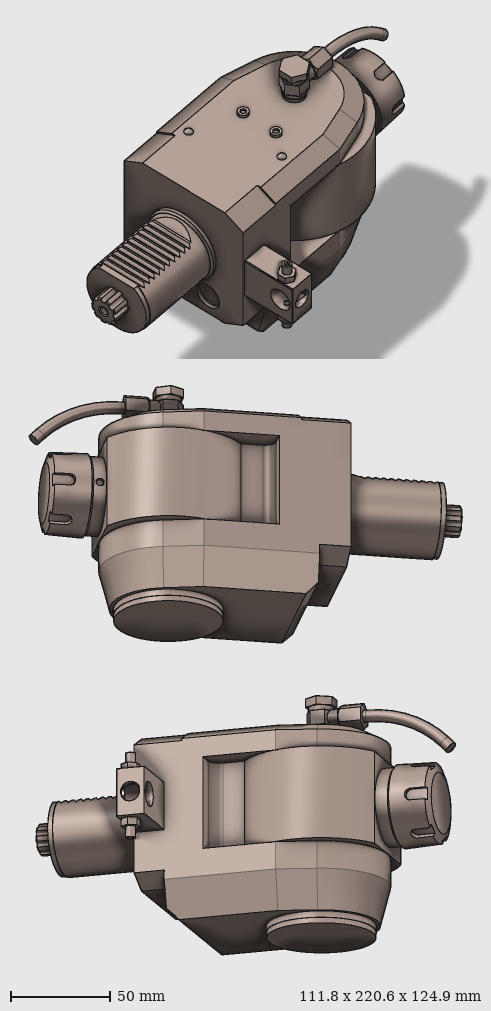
import cadquery as cq
import math


half_width = 39.3
half_height = 40.0
swivel_y = 86.5
nose_radius = 35.0
nose_taper = math.radians(15)
rim_inset = 10.0
rim_drop = 5.3
mount_length = 16.0
mount_rim_length = 25.4
mount_chamfer_x = 12.1
mount_chamfer_z = 6.5
skirt_top = -38.5
skirt_bottom = -58.7
skirt_inset = 5.3
skirt_chamfer = 6.0
plug_x = 16.0
plug_z = -27.5
plug_radius = 7.5
plug_depth = 2.2

disc_radius = 41.0
disc_half_height = 24.0
disc_flat_y = 121.8
pocket_start_y = 36.9
pocket_inner_x = 25.0
pocket_corner_radius = 5.7

cover_radius = 27.8
cover_bottom = -64.9
cover_lip_radius = 27.5
cover_lip_top = -62.0

spindle_radius = 20.0
spindle_end_y = 128.5
groove_radius = 16.3
nut_start_y = 129.5
nut_shoulder_y = 148.5
nut_end_y = 150.3
nut_base_radius = 21.5
nut_shoulder_radius = 20.7
nut_face_radius = 15.7
nut_slots = 6
nut_slot_width = 6.2
nut_slot_length = 12.4
nut_slot_floor = 18.5
pin_hole_y = 125.1
pin_hole_radius = 2.0
pin_hole_depth = 2.2

collar_radius = 21.5
collar_length = 3.0
collar_chamfer = 1.0
shank_radius = 20.0
shank_length = 52.5
shank_tip_radius = 19.6
shank_tip_length = 2.6
rack_z = 15.9
rack_start_y = -8.8
rack_pitch = 4.0
rack_grooves = 10
rack_first_y = -11.7
rack_depth = 1.5
spline_length = 10.4
spline_radius = 8.2
spline_teeth = 9
spline_groove_radius = 1.5
spline_chamfer = 0.7
center_hole_radius = 2.5
center_hole_depth = 4.5
center_hole_chamfer = 0.7

bracket_end_x = 70.8
bracket_start_y = 1.0
bracket_half_height = 12.4
bracket_edge_chamfer = 0.5
bracket_hole_x = 63.0
bracket_hole_radius = 6.5
bracket_window_radius = 5.0
bracket_screw_y = 6.2
bracket_screw_radius = 2.54
bracket_screw_end = 22.0
bracket_nut_corner = 4.9
bracket_nut_height = 4.0
bracket_socket_corner = 1.5
bracket_socket_depth = 1.8
bracket_tip_hole_radius = 1.5
bracket_tip_hole_end = 6.8

fitting_top = 60.0
fitting_cap_bottom = 55.5
fitting_cap_corner = 8.2
fitting_radius = 6.6
fitting_foot_radius = 6.2
fitting_foot_top = 42.5
fitting_hex_bottom = 45.5
fitting_hex_top = 53.0
fitting_hex_corner = 7.7
pipe_z = 49.2
pipe_neck_radius = 5.0
pipe_nut_start_y = 96.9
pipe_nut_end_y = 109.2
pipe_nut_corner = 6.8
pipe_nut_chamfer = 1.3
pipe_radius = 3.0
pipe_bend_start_y = 111.0
pipe_bend_radius = 57.8
pipe_bend_angle = math.radians(45.6)
pipe_tip_length = 4.6

screw_x = 10.8
screw_y = 59.4
screw_radius = 3.0
screw_height = 1.8
screw_socket_corner = 1.8
screw_socket_depth = 1.0
rivets = [(23.6, 48.8), (-23.6, 31.8)]
rivet_radius = 2.5
rivet_height = 1.8


def box(x0, x1, y0, y1, z0, z1):
    return cq.Workplane("XY").box(x1 - x0, y1 - y0, z1 - z0, centered=False).translate((x0, y0, z0))


def rod_y(radius, y0, y1, x=0, z=0):
    return cq.Workplane("XZ", origin=(x, y0, z)).circle(radius).extrude(y0 - y1)


def rod_z(radius, z0, z1, x=0, y=0):
    return cq.Workplane("XY", origin=(x, y, z0)).circle(radius).extrude(z1 - z0)


def hexagon(corner, turn=0):
    angles = [math.radians(60 * i + turn) for i in range(6)]
    return [(corner * math.cos(a), corner * math.sin(a)) for a in angles]


def hex_z(corner, z0, z1, x=0, y=0, turn=0):
    return cq.Workplane("XY", origin=(x, y, z0)).polyline(hexagon(corner, turn)).close().extrude(z1 - z0)


def body_wire(plane, inset, back_y):
    """Straight sides, tapering cheeks and a round nose, all moved inward by inset."""
    side = half_width - inset
    radius = nose_radius - inset
    tangent_x = radius * math.cos(nose_taper)
    tangent_y = swivel_y + radius * math.sin(nose_taper)
    corner_y = tangent_y - (side - tangent_x) / math.tan(nose_taper)
    return (
        plane.moveTo(-side, back_y)
        .lineTo(side, back_y)
        .lineTo(side, corner_y)
        .lineTo(tangent_x, tangent_y)
        .threePointArc((0, swivel_y + radius), (-tangent_x, tangent_y))
        .lineTo(-side, corner_y)
        .close()
    )


def body_layer(z0, inset0, z1, inset1, back_y):
    first = body_wire(cq.Workplane("XY", origin=(0, 0, z0)), inset0, back_y)
    return body_wire(first.workplane(offset=z1 - z0), inset1, back_y).loft(ruled=True)


def mount_block(length):
    """Block behind the mounting face with its upper and lower long edges chamfered."""
    shoulder_x = half_width - mount_chamfer_x
    shoulder_z = half_height - mount_chamfer_z
    right = [
        (shoulder_x, -half_height),
        (half_width, -shoulder_z),
        (half_width, shoulder_z),
        (shoulder_x, half_height),
    ]
    left = [(-x, z) for x, z in reversed(right)]
    return cq.Workplane("XZ").polyline(right + left).close().extrude(-length)


def make_body():
    rim_z = half_height - rim_drop
    core = body_layer(skirt_top, 0, rim_z, 0, mount_length)
    rim = body_layer(rim_z, 0, half_height, rim_inset, mount_rim_length)
    skirt = body_layer(skirt_bottom, skirt_inset, skirt_top, 0, mount_length)
    skirt = skirt.faces("<Z").edges("<Y").chamfer(skirt_chamfer)
    mount = mount_block(mount_length)
    mount_rim = mount_block(mount_rim_length)
    above = box(-half_width, half_width, 0, mount_rim_length, 0, half_height)
    core = core.cut(above).union(mount_rim.intersect(above))
    body = core.union(rim).union(skirt).union(mount)
    return body.cut(rod_y(plug_radius, 0, plug_depth, plug_x, plug_z))


def side_pocket(side):
    outer_x = half_width + 2.2
    pocket = box(pocket_inner_x, outer_x, pocket_start_y, disc_flat_y, -disc_half_height, disc_half_height)
    pocket = pocket.edges("|Z and <X and <Y").fillet(pocket_corner_radius)
    return pocket if side > 0 else pocket.mirror("YZ")


def swivel_disc():
    disc = rod_z(disc_radius, -disc_half_height, disc_half_height, 0, swivel_y)
    beyond = box(-disc_radius, disc_radius, disc_flat_y, swivel_y + disc_radius,
                 -disc_half_height, disc_half_height)
    return disc.cut(beyond)


def bottom_cover():
    cover = rod_z(cover_radius, cover_lip_top, skirt_bottom, 0, swivel_y)
    return cover.union(rod_z(cover_lip_radius, cover_bottom, cover_lip_top, 0, swivel_y))


def collet_nut():
    profile = [
        (0, swivel_y),
        (spindle_radius, swivel_y),
        (spindle_radius, spindle_end_y),
        (groove_radius, spindle_end_y),
        (groove_radius, nut_start_y),
        (nut_base_radius, nut_start_y),
        (nut_shoulder_radius, nut_shoulder_y),
        (nut_face_radius, nut_end_y),
        (0, nut_end_y),
    ]
    nut = cq.Workplane("XY").polyline(profile).close().revolve(360, (0, 0, 0), (0, 1, 0))
    slot = (
        cq.Workplane("YZ", origin=(nut_slot_floor, 0, 0))
        .center(nut_end_y, 0)
        .slot2D(2 * nut_slot_length, nut_slot_width)
        .extrude(nut_base_radius - nut_slot_floor)
    )
    for i in range(nut_slots):
        nut = nut.cut(slot.rotate((0, 0, 0), (0, 1, 0), 360 / nut_slots * i))
    pin_hole = cq.Workplane("YZ", origin=(-spindle_radius, pin_hole_y, 0)).circle(pin_hole_radius)
    return nut.cut(pin_hole.extrude(pin_hole_depth))


def shank():
    collar = rod_y(collar_radius, 0, -collar_length).faces("<Y").edges().chamfer(collar_chamfer)
    tip_start_y = shank_tip_length - shank_length
    stem = rod_y(shank_radius, 0, tip_start_y).union(rod_y(shank_tip_radius, tip_start_y, -shank_length))
    ramp = shank_radius - rack_z
    rack_flat = [
        (rack_start_y + ramp, shank_radius),
        (rack_start_y, rack_z),
        (-shank_length, rack_z),
        (-shank_length, shank_radius),
    ]
    stem = stem.cut(cq.Workplane("YZ").polyline(rack_flat).close().extrude(shank_radius, both=True))
    for i in range(rack_grooves):
        y = rack_first_y - rack_pitch * i
        groove = [(y - rack_depth, rack_z), (y, rack_z - rack_depth), (y + rack_depth, rack_z)]
        stem = stem.cut(cq.Workplane("YZ").polyline(groove).close().extrude(shank_radius, both=True))
    return collar.union(stem)


def spline():
    end_y = -shank_length - spline_length
    teeth = rod_y(spline_radius, -shank_length, end_y).faces("<Y").edges().chamfer(spline_chamfer)
    for i in range(spline_teeth):
        angle = math.radians(90 + 360 / spline_teeth * i)
        x = spline_radius * math.cos(angle)
        z = spline_radius * math.sin(angle)
        teeth = teeth.cut(rod_y(spline_groove_radius, -shank_length, end_y, x, z))
    hole = [
        (0, end_y),
        (center_hole_radius + center_hole_chamfer, end_y),
        (center_hole_radius, end_y + center_hole_chamfer),
        (center_hole_radius, end_y + center_hole_depth),
        (0, end_y + center_hole_depth),
    ]
    return teeth.cut(cq.Workplane("XY").polyline(hole).close().revolve(360, (0, 0, 0), (0, 1, 0)))


def bracket_screw():
    """Set screw and lock nut standing on top of the bracket."""
    place = (bracket_hole_x, bracket_screw_y)
    nut = hex_z(bracket_nut_corner, bracket_half_height, bracket_half_height + bracket_nut_height, *place)
    rod = rod_z(bracket_screw_radius, bracket_half_height, bracket_screw_end, *place)
    socket_floor = bracket_screw_end - bracket_socket_depth
    return nut.union(rod).cut(hex_z(bracket_socket_corner, socket_floor, bracket_screw_end, *place))


def bracket():
    arm = box(half_width, bracket_end_x, bracket_start_y, mount_length,
              -bracket_half_height, bracket_half_height)
    arm = arm.edges("<Y and (>X or >Z)").chamfer(bracket_edge_chamfer)
    arm = arm.cut(rod_y(bracket_hole_radius, bracket_start_y, mount_length, bracket_hole_x))
    window = cq.Workplane("YZ", origin=(bracket_hole_x, (bracket_start_y + mount_length) / 2, 0))
    arm = arm.cut(window.circle(bracket_window_radius).extrude(bracket_end_x - bracket_hole_x))
    arm = arm.cut(rod_z(bracket_tip_hole_radius, -bracket_tip_hole_end, bracket_tip_hole_end,
                        bracket_hole_x, bracket_screw_y))
    screw = bracket_screw()
    return arm.union(screw).union(screw.mirror("XY"))


def coolant_fitting():
    fitting = rod_z(fitting_foot_radius, half_height, fitting_foot_top, 0, swivel_y)
    fitting = fitting.union(rod_z(fitting_radius, fitting_foot_top, fitting_cap_bottom, 0, swivel_y))
    grip = hex_z(fitting_hex_corner, fitting_hex_bottom, fitting_hex_top, 0, swivel_y, turn=30)
    fitting = fitting.union(grip)
    return fitting.union(hex_z(fitting_cap_corner, fitting_cap_bottom, fitting_top, 0, swivel_y))


def coolant_pipe():
    neck = rod_y(pipe_neck_radius, swivel_y, pipe_nut_start_y, z=pipe_z)
    nut = (
        cq.Workplane("XZ", origin=(0, pipe_nut_start_y, pipe_z))
        .polyline(hexagon(pipe_nut_corner, turn=30))
        .close()
        .extrude(pipe_nut_start_y - pipe_nut_end_y)
    )
    rounding = rod_y(pipe_nut_corner, pipe_nut_start_y, pipe_nut_end_y, z=pipe_z)
    nut = nut.intersect(rounding.faces("<Y").edges().chamfer(pipe_nut_chamfer))

    def bend_point(angle):
        y = pipe_bend_start_y + pipe_bend_radius * math.sin(angle)
        return y, pipe_z - pipe_bend_radius * (1 - math.cos(angle))

    bend_y, bend_z = bend_point(pipe_bend_angle)
    tip = (
        bend_y + pipe_tip_length * math.cos(pipe_bend_angle),
        bend_z - pipe_tip_length * math.sin(pipe_bend_angle),
    )
    path = (
        cq.Workplane("YZ")
        .moveTo(pipe_nut_end_y, pipe_z)
        .lineTo(pipe_bend_start_y, pipe_z)
        .threePointArc(bend_point(pipe_bend_angle / 2), (bend_y, bend_z))
        .lineTo(*tip)
    )
    pipe = cq.Workplane("XZ", origin=(0, pipe_nut_end_y, pipe_z)).circle(pipe_radius).sweep(path)
    return neck.union(nut).union(pipe)


def top_screw(x):
    top = half_height + screw_height
    head = rod_z(screw_radius, half_height, top, x, screw_y)
    return head.cut(hex_z(screw_socket_corner, top - screw_socket_depth, top, x, screw_y))


def rivet(x, y):
    """Low domed head: a cap of a sphere."""
    sphere_radius = (rivet_radius**2 + rivet_height**2) / (2 * rivet_height)
    top = half_height + rivet_height
    ball = cq.Workplane("XY", origin=(x, y, top - sphere_radius)).sphere(sphere_radius)
    return ball.intersect(rod_z(rivet_radius, half_height, top, x, y))


result = make_body()
for side in (-1, 1):
    result = result.cut(side_pocket(side))
for feature in (swivel_disc(), bottom_cover(), collet_nut(), shank(), spline(), bracket(),
                coolant_fitting(), coolant_pipe()):
    result = result.union(feature)
for side in (-1, 1):
    result = result.union(top_screw(side * screw_x))
for x, y in rivets:
    result = result.union(rivet(x, y))